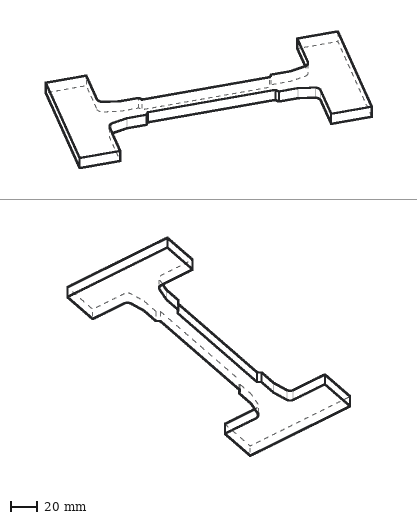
import cadquery as cq

length = 230.0
width = 95.0
thickness = 10.0

neck_width = 21.5
gauge_width = 16.0
taper_end_width = 27.4
root_width = 34.3

grip_depth = 32.0
taper_start = 67.5
grip_inner = length / 2 - grip_depth

root_arc_length = 2.8
root_arc_radius = 5.3
shoulder_length = 2.0
shoulder_end = 52.2


def quarter_outline():
    """Closed outline of the +X, +Y quarter of the bar."""
    return (
        cq.Workplane("XY")
        .lineTo(gauge_width / 2, 0)
        .lineTo(gauge_width / 2, shoulder_end - shoulder_length)
        .lineTo(neck_width / 2, shoulder_end)
        .lineTo(neck_width / 2, taper_start)
        .lineTo(taper_end_width / 2, grip_inner - root_arc_length)
        .radiusArc((root_width / 2, grip_inner), root_arc_radius)
        .lineTo(width / 2, grip_inner)
        .lineTo(width / 2, length / 2)
        .lineTo(0, length / 2)
        .close()
    )


quarter = quarter_outline().extrude(thickness)

half = quarter.union(quarter.mirror("YZ"))
result = half.union(half.mirror("XZ")).clean()